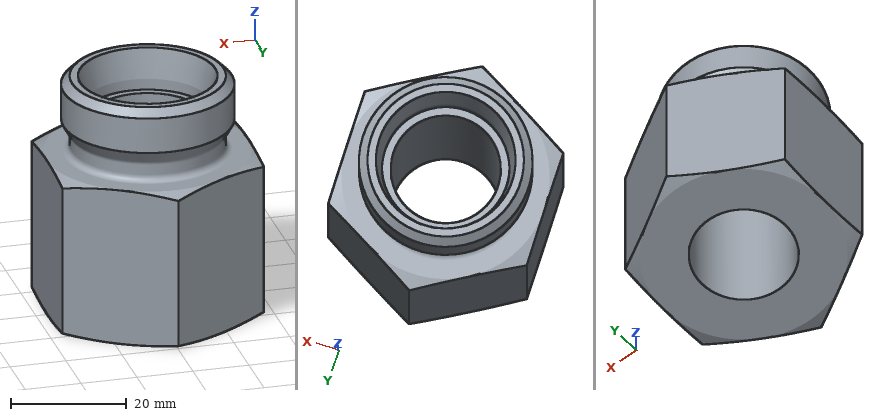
import cadquery as cq
import math

total_height = 43.0
across_flats = 36.0
hex_height = 29.0
hex_turn = -0.2
hex_chamfer_angle = 16.0

collar_radius = 30.0 / 2
neck_radius = 27.0 / 2
collar_chamfer = collar_radius - neck_radius
collar_bottom = 35.0
collar_taper_angle = 30.0
neck_top_blend = 1.2
neck_root_fillet = 1.2

mouth_radius = 24.12 / 2
seat_radius = 22.0 / 2
bore_radius = 19.0 / 2
cone_depth = 5.5
seat_depth = 7.5


def revolve_profile(profile):
    """Turn a closed radius-height outline about the Z axis."""
    return profile.close().revolve(360, (0, 0, 0), (0, 1, 0))


def make_hex_body():
    corner_radius = across_flats / 2 / math.cos(math.radians(30))
    hexagon = (
        cq.Workplane("XY")
        .polygon(6, 2 * corner_radius)
        .extrude(hex_height)
        .rotate((0, 0, 0), (0, 0, 1), 30 + hex_turn)
    )
    face_radius = across_flats / 2
    trim_radius = corner_radius + 0.45
    trim_height = (trim_radius - face_radius) * math.tan(math.radians(hex_chamfer_angle))
    envelope = revolve_profile(
        cq.Workplane("XZ")
        .moveTo(0, 0)
        .lineTo(face_radius, 0)
        .lineTo(trim_radius, trim_height)
        .lineTo(trim_radius, hex_height - trim_height)
        .lineTo(face_radius, hex_height)
        .lineTo(0, hex_height)
    )
    return hexagon.intersect(envelope)


def make_collar():
    taper = math.radians(collar_taper_angle)
    taper_bottom = collar_bottom - (collar_radius - neck_radius) / math.tan(taper)
    tangent_length = neck_top_blend * math.tan(taper / 2)
    blend_bottom = taper_bottom - tangent_length
    center_radius = neck_radius + neck_top_blend
    blend_middle = (
        center_radius - neck_top_blend * math.cos(taper / 2),
        blend_bottom + neck_top_blend * math.sin(taper / 2),
    )
    blend_end = (
        center_radius - neck_top_blend * math.cos(taper),
        blend_bottom + neck_top_blend * math.sin(taper),
    )
    root_center = (neck_radius + neck_root_fillet, hex_height + neck_root_fillet)
    root_offset = neck_root_fillet * math.cos(math.radians(45))
    return revolve_profile(
        cq.Workplane("XZ")
        .moveTo(0, total_height)
        .lineTo(collar_radius - collar_chamfer, total_height)
        .lineTo(collar_radius, total_height - collar_chamfer)
        .lineTo(collar_radius, collar_bottom)
        .lineTo(*blend_end)
        .threePointArc(blend_middle, (neck_radius, blend_bottom))
        .lineTo(neck_radius, root_center[1])
        .threePointArc(
            (root_center[0] - root_offset, root_center[1] - root_offset),
            (root_center[0], hex_height),
        )
        .lineTo(0, hex_height)
    )


def make_bore():
    return revolve_profile(
        cq.Workplane("XZ")
        .moveTo(0, 0)
        .lineTo(bore_radius, 0)
        .lineTo(bore_radius, total_height - seat_depth)
        .lineTo(seat_radius, total_height - seat_depth)
        .lineTo(seat_radius, total_height - cone_depth)
        .lineTo(mouth_radius, total_height)
        .lineTo(0, total_height)
    )


result = make_hex_body().union(make_collar()).cut(make_bore())